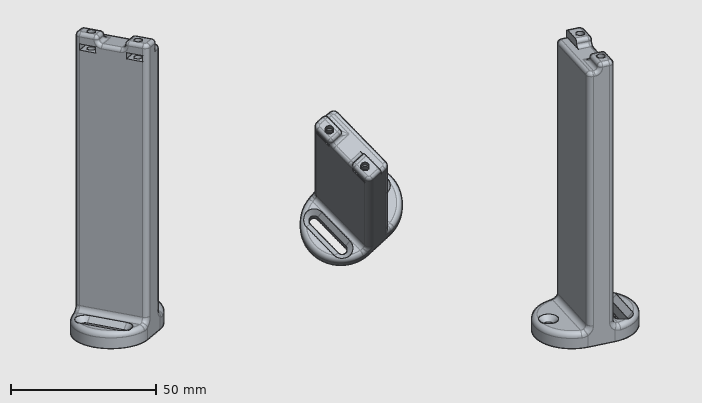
import cadquery as cq
total_height = 110.0
end_radius = 14.0
post_depth = 10.0
base_height = 6.0
large_round = 2.0
small_round = 1.4

lug_height = 3.0
lug_width = 8.9
lug_back_y = 1.0

screw_diameter = 3.0
screw_x = 8.9
screw_y = -2.0
screw_depth = 11.0
nut_width = 6.2
nut_height = 2.3
nut_roof = 4.1
nut_depth = 6.0

hole_y = 13.8
hole_diameter = 3.0
slot_y = -11.0
slot_width = 3.5
slot_centers = 14.0
countersink = 2.0
countersink_angle = 45.0

post_width = 2 * end_radius
base_length = post_width + post_depth
half_depth = post_depth / 2
slot_length = slot_centers + slot_width
shelf_z = total_height - lug_height
lug_inner_x = end_radius - lug_width
beyond = base_length
nearby = 0.05


def level_edges(body, height):
    """Edges of the body that lie level at the given height."""
    return [
        edge
        for edge in body.edges().vals()
        if edge.BoundingBox().zlen < nearby and abs(edge.Center().z - height) < nearby
    ]


def make_body():
    """Upright post on a stadium base, with filleted foot and rounded outer edges."""
    foot_y = half_depth + large_round
    foot_z = base_height + large_round
    profile = (
        cq.Workplane("YZ")
        .moveTo(-beyond, 0)
        .lineTo(beyond, 0)
        .lineTo(beyond, base_height)
        .lineTo(foot_y, base_height)
        .radiusArc((half_depth, foot_z), large_round)
        .lineTo(half_depth, total_height)
        .lineTo(-half_depth, total_height)
        .lineTo(-half_depth, foot_z)
        .radiusArc((-foot_y, base_height), large_round)
        .lineTo(-beyond, base_height)
        .close()
        .extrude(beyond, both=True)
    )
    stadium = cq.Workplane("XY").slot2D(base_length, post_width, 90).extrude(total_height)
    body = profile.intersect(stadium)
    rims = [edge for edge in level_edges(body, base_height) if edge.geomType() == "CIRCLE"]
    return body.newObject(rims).fillet(large_round)


def cut_lugs(body):
    """Lower the post top to the shelf except for the two lugs at the front."""
    gap = cq.Workplane("XY").box(2 * lug_inner_x, beyond, lug_height, centered=(True, True, False))
    back = (
        cq.Workplane("XY")
        .box(beyond, beyond, lug_height, centered=(True, False, False))
        .translate((0, lug_back_y, 0))
    )
    return body.cut(gap.union(back).translate((0, 0, shelf_z)))


def round_top(body):
    """Fillet the lug roots, then round the lugs and the rim of the shelf."""
    def is_sharp(edge):
        center = edge.Center()
        along_x = edge.BoundingBox().ylen < nearby
        return along_x and abs(center.y - lug_back_y) < nearby and center.x > 0

    def is_outer(edge):
        center = edge.Center()
        return abs(center.x) > end_radius - large_round or abs(center.y) > half_depth - large_round

    shelf_edges = level_edges(body, shelf_z)
    roots = [edge for edge in shelf_edges if not is_outer(edge) and not is_sharp(edge)]
    blended = body.newObject(roots).fillet(small_round)

    shelf_rim = [edge for edge in level_edges(blended, shelf_z) if is_outer(edge)]
    lug_rims = [edge for edge in level_edges(blended, total_height) if not is_sharp(edge)]
    inner_corner_point = (-lug_inner_x, lug_back_y, total_height)
    inner_corner = blended.edges("|Z").edges(cq.NearestToPointSelector(inner_corner_point)).vals()
    return blended.newObject(shelf_rim + lug_rims + inner_corner).fillet(small_round)


def cut_nut_mounts(body):
    """Screw holes down into the lugs, each with a nut pocket open to the front."""
    pocket_z = total_height - nut_roof - nut_height
    for side in (-1, 1):
        screw = (
            cq.Workplane("XY", origin=(side * screw_x, screw_y, total_height))
            .circle(screw_diameter / 2)
            .extrude(-screw_depth)
        )
        pocket = (
            cq.Workplane("XY", origin=(side * screw_x, -half_depth, pocket_z))
            .box(nut_width, nut_depth, nut_height, centered=(True, False, False))
        )
        body = body.cut(screw).cut(pocket)
    return body


def cut_base_openings(body):
    """Round hole behind the post and long slot in front, both countersunk from above."""
    sink_z = base_height - countersink
    hole = cq.Workplane("XY", origin=(0, hole_y, 0)).circle(hole_diameter / 2)
    hole_sink = cq.Workplane("XY", origin=(0, hole_y, sink_z)).circle(hole_diameter / 2)
    slot = cq.Workplane("XY", origin=(0, slot_y, 0)).slot2D(slot_length, slot_width)
    slot_sink = cq.Workplane("XY", origin=(0, slot_y, sink_z)).slot2D(slot_length, slot_width)
    for opening in (hole, slot):
        body = body.cut(opening.extrude(base_height))
    for sink in (hole_sink, slot_sink):
        body = body.cut(sink.extrude(countersink, taper=-countersink_angle))
    return body


result = cut_lugs(make_body())
result = round_top(result)
result = cut_nut_mounts(result)
result = cut_base_openings(result).solids()